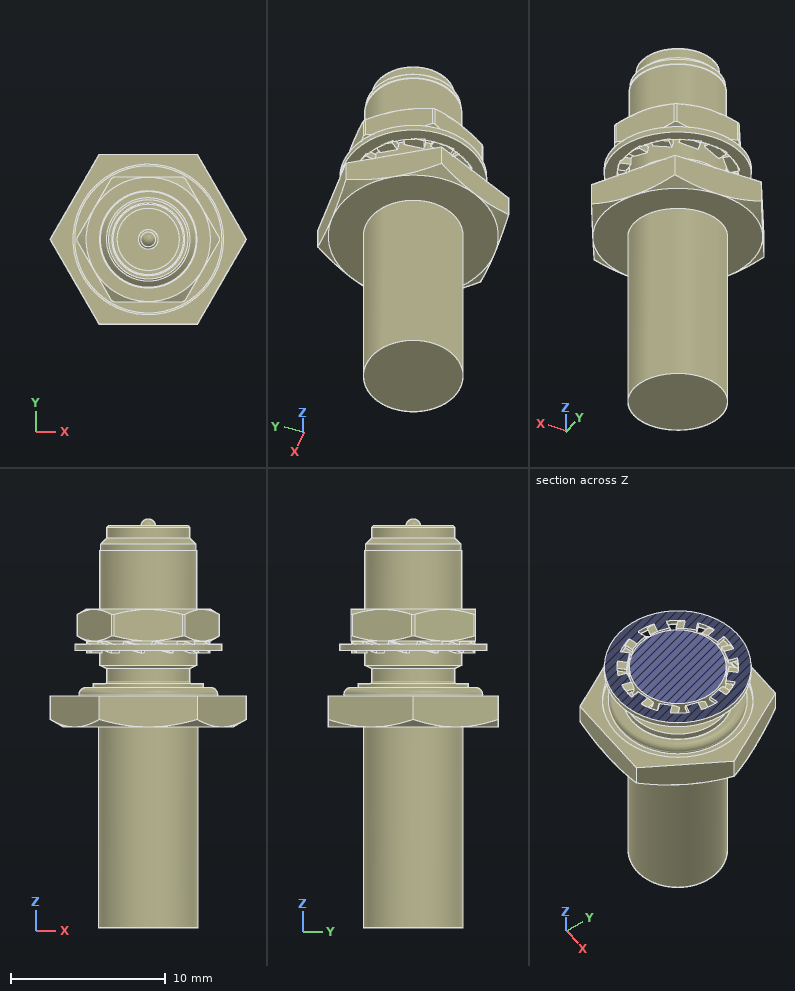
import cadquery as cq
import math

OVERALL_HEIGHT = 26.47
TUBE_RADIUS = 3.23

FLANGE_BOTTOM = 13.0
FLANGE_TOP = 15.0
FLANGE_CORNER_DIAMETER = 12.7
FLANGE_INRADIUS = FLANGE_CORNER_DIAMETER / 2 * math.cos(math.pi / 6)
CHAMFER_SLOPE = math.tan(math.pi / 6)

SHOULDER_RADIUS = 3.57
SHOULDER_TOP = 15.8
SEAL_SECTION_RADIUS = 0.48
SEAL_CREST_Z = 15.56
SEAL_GROOVE_RADIUS = 4.87
SEAL_OVERLAP = 0.03
SEAL_CENTRE_RADIUS = SHOULDER_RADIUS + SEAL_SECTION_RADIUS - SEAL_OVERLAP
SEAL_CENTRE_Z = SEAL_CREST_Z - SEAL_SECTION_RADIUS
SEAL_GROOVE_FLOOR = SEAL_CENTRE_Z - SEAL_SECTION_RADIUS + SEAL_OVERLAP

NECK_RADIUS = 2.7
NECK_FILLET = 0.13
NECK_TOP = 16.78
THREAD_RADIUS = 3.15
THREAD_START = 17.0
THREAD_END = 24.43
LEAD_RADIUS = 3.1
LEAD_TOP = 24.83
RIM_BASE = 25.23
RIM_TOP = 26.05
RIM_RADIUS = NECK_RADIUS
RIM_CHAMFER = 0.13

SOCKET_RADIUS = 2.28
SOCKET_CHAMFER = 0.08
SOCKET_FLOOR = 24.11
INSULATOR_RADIUS = 2.0
INSULATOR_RECESS = 0.03
INSULATOR_FACE = SOCKET_FLOOR - INSULATOR_RECESS

PIN_RADIUS = 0.48
PIN_BASE_RADIUS = 0.64
PIN_BASE_HEIGHT = PIN_BASE_RADIUS - PIN_RADIUS

NUT_BOTTOM = 18.55
NUT_TOP = 20.62
NUT_ACROSS_FLATS = 8.07
NUT_CORNER_RADIUS = 4.6
NUT_FACE_RADIUS = 4.02

WASHER_OUTER_RADIUS = 4.76
WASHER_INNER_RADIUS = 3.92
WASHER_BOTTOM = 17.95
WASHER_THICKNESS = 0.42
TOOTH_COUNT = 12
TOOTH_WIDTH = 1.32
TOOTH_TIP_RADIUS = 3.25
TOOTH_ROOT_RADIUS = 3.97
TOOTH_TWIST = 15.0


def cylinder(radius, bottom, top):
    return cq.Workplane("XY").workplane(offset=bottom).circle(radius).extrude(top - bottom)


def hexagon(corner_radius, bottom, top):
    """Hexagonal prism with two corners on the X axis."""
    return cq.Workplane("XY").workplane(offset=bottom).polygon(6, 2 * corner_radius).extrude(top - bottom)


def revolve_profile(points):
    """Turn a closed (radius, z) outline about the Z axis."""
    return cq.Workplane("XZ").polyline(points).close().revolve(360, (0, 0, 0), (0, 1, 0))


def make_flange():
    """Hexagon chamfered at its lower corners, with a seal groove in its top face."""
    corner_radius = FLANGE_CORNER_DIAMETER / 2
    chamfer_height = (corner_radius - FLANGE_INRADIUS) * CHAMFER_SLOPE
    corner_cone = revolve_profile([
        (0, FLANGE_BOTTOM),
        (FLANGE_INRADIUS, FLANGE_BOTTOM),
        (corner_radius, FLANGE_BOTTOM + chamfer_height),
        (corner_radius, FLANGE_TOP),
        (0, FLANGE_TOP),
    ])
    groove = cylinder(SEAL_GROOVE_RADIUS, SEAL_GROOVE_FLOOR, FLANGE_TOP)
    return hexagon(corner_radius, FLANGE_BOTTOM, FLANGE_TOP).intersect(corner_cone).cut(groove)


def make_barrel():
    """Turned shoulder, neck, thread and socket rim, with a socket bored from the top."""
    outside = (
        cq.Workplane("XZ")
        .moveTo(0, FLANGE_BOTTOM)
        .lineTo(SHOULDER_RADIUS, FLANGE_BOTTOM)
        .lineTo(SHOULDER_RADIUS, SHOULDER_TOP)
        .lineTo(NECK_RADIUS + NECK_FILLET, SHOULDER_TOP)
        .radiusArc((NECK_RADIUS, SHOULDER_TOP + NECK_FILLET), NECK_FILLET)
        .lineTo(NECK_RADIUS, NECK_TOP)
        .lineTo(THREAD_RADIUS, THREAD_START)
        .lineTo(THREAD_RADIUS, THREAD_END)
        .lineTo(LEAD_RADIUS, THREAD_END)
        .lineTo(LEAD_RADIUS, LEAD_TOP)
        .lineTo(RIM_RADIUS, RIM_BASE)
        .lineTo(RIM_RADIUS, RIM_TOP - RIM_CHAMFER)
        .lineTo(RIM_RADIUS - RIM_CHAMFER, RIM_TOP)
        .lineTo(0, RIM_TOP)
        .close()
        .revolve(360, (0, 0, 0), (0, 1, 0))
    )
    socket = revolve_profile([
        (0, INSULATOR_FACE),
        (INSULATOR_RADIUS, INSULATOR_FACE),
        (INSULATOR_RADIUS, SOCKET_FLOOR),
        (SOCKET_RADIUS, SOCKET_FLOOR),
        (SOCKET_RADIUS, RIM_TOP - SOCKET_CHAMFER),
        (SOCKET_RADIUS + SOCKET_CHAMFER, RIM_TOP),
        (0, RIM_TOP),
    ])
    return outside.cut(socket)


def make_pin():
    """Round-ended contact pin rising from a conical base on the insulator face."""
    return (
        cq.Workplane("XZ")
        .moveTo(0, INSULATOR_FACE)
        .lineTo(PIN_BASE_RADIUS, INSULATOR_FACE)
        .lineTo(PIN_RADIUS, INSULATOR_FACE + PIN_BASE_HEIGHT)
        .lineTo(PIN_RADIUS, OVERALL_HEIGHT - PIN_RADIUS)
        .radiusArc((0, OVERALL_HEIGHT), -PIN_RADIUS)
        .close()
        .revolve(360, (0, 0, 0), (0, 1, 0))
    )


def make_seal():
    """Round-section sealing ring seated in the flange groove."""
    return (
        cq.Workplane("XZ")
        .center(SEAL_CENTRE_RADIUS, SEAL_CENTRE_Z)
        .circle(SEAL_SECTION_RADIUS)
        .revolve(360, (-SEAL_CENTRE_RADIUS, 0, 0), (-SEAL_CENTRE_RADIUS, 1, 0))
    )


def make_connector():
    tube = cylinder(TUBE_RADIUS, 0, FLANGE_BOTTOM)
    return tube.union(make_flange()).union(make_barrel()).union(make_seal()).union(make_pin())


def make_nut():
    """Hexagonal nut on the thread, its corners rounded off and chamfered on both faces."""
    chamfer_height = (NUT_CORNER_RADIUS - NUT_FACE_RADIUS) * CHAMFER_SLOPE
    corner_cone = revolve_profile([
        (0, NUT_BOTTOM),
        (NUT_FACE_RADIUS, NUT_BOTTOM),
        (NUT_CORNER_RADIUS, NUT_BOTTOM + chamfer_height),
        (NUT_CORNER_RADIUS, NUT_TOP - chamfer_height),
        (NUT_FACE_RADIUS, NUT_TOP),
        (0, NUT_TOP),
    ])
    sharp_corner_radius = NUT_ACROSS_FLATS / 2 / math.cos(math.pi / 6)
    blank = hexagon(sharp_corner_radius, NUT_BOTTOM, NUT_TOP).intersect(corner_cone)
    return blank.cut(cylinder(THREAD_RADIUS, NUT_BOTTOM, NUT_TOP))


def make_washer():
    """Flat ring whose internal teeth are each twisted about their own radial line."""
    washer_top = WASHER_BOTTOM + WASHER_THICKNESS
    ring = cylinder(WASHER_OUTER_RADIUS, WASHER_BOTTOM, washer_top)
    ring = ring.cut(cylinder(WASHER_INNER_RADIUS, WASHER_BOTTOM, washer_top))
    tooth_length = TOOTH_ROOT_RADIUS - TOOTH_TIP_RADIUS
    tooth = (
        cq.Workplane("XY")
        .box(tooth_length, TOOTH_WIDTH, WASHER_THICKNESS)
        .rotate((0, 0, 0), (1, 0, 0), -TOOTH_TWIST)
        .translate((TOOTH_TIP_RADIUS + tooth_length / 2, 0, WASHER_BOTTOM + WASHER_THICKNESS / 2))
    )
    pitch = 360 / TOOTH_COUNT
    first_angle = pitch / 2
    for index in range(TOOTH_COUNT):
        ring = ring.union(tooth.rotate((0, 0, 0), (0, 0, 1), first_angle + index * pitch))
    return ring


connector = make_connector()
nut = make_nut()
washer = make_washer()

result = cq.Compound.makeCompound([connector.val(), nut.val(), washer.val()])